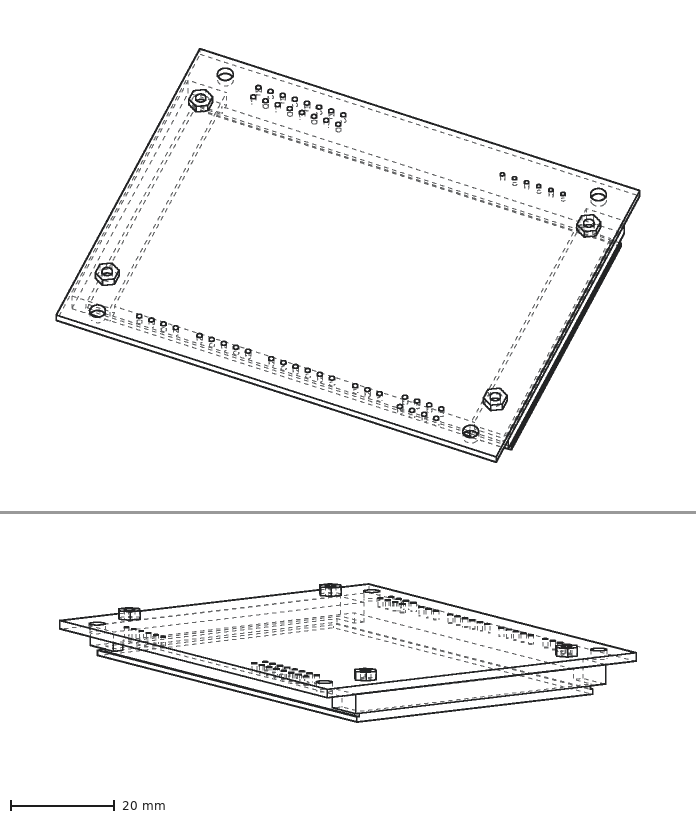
import cadquery as cq

board_length = 92
board_width = 72.0
board_thickness = 1.7

mount_hole_diameter = 3.0
mount_hole_x = 39.0
mount_hole_y = 32.0

bar_width = 8.0
bar_length = 58.3
bar_height = 3.9
bar_outer_x = 45.6

display_depth = 6.0
display_half_length = 43.6
display_body_width = 54.0
display_top_gap = 1.8
flange_width = 55.0
flange_thickness = 1.0

nut_across_corners = 4.6
nut_height = 1.7
nut_bore_diameter = 2.0
nut_x = 40.6
nut_y = 23.5

wide_header_columns = 8
wide_header_span = 17.8
pin_pitch = wide_header_span / (wide_header_columns - 1)
pin_hole_diameter = 1.0
small_pin_hole_diameter = 0.8

single_row_y = -30.1
headers = [
    (-31.8, 28.9, wide_header_columns, 2, pin_hole_diameter),
    (20.0, 29.5, 6, 1, small_pin_hole_diameter),
    (-31.1, single_row_y, 4, 1, pin_hole_diameter),
    (-18.5, single_row_y, 5, 1, pin_hole_diameter),
    (-3.5, single_row_y, 6, 1, pin_hole_diameter),
    (14.1, single_row_y, 3, 1, pin_hole_diameter),
    (24.0, -31.6, 4, 2, pin_hole_diameter),
]


def four_corners(x, y):
    """Points mirrored about both centre lines."""
    return [(sx * x, sy * y) for sx in (-1, 1) for sy in (-1, 1)]


def block(x_min, x_max, width, z_min, z_max):
    """Box centred on the X axis between the given X and Z limits."""
    base = cq.Workplane("XY").workplane(offset=z_min).center((x_min + x_max) / 2, 0)
    return base.rect(x_max - x_min, width).extrude(z_max - z_min)


def drilled_board():
    board = block(-board_length / 2, board_length / 2, board_width, 0, board_thickness)
    top = board.faces(">Z").workplane(origin=(0, 0, board_thickness))
    board = top.pushPoints(four_corners(mount_hole_x, mount_hole_y)).hole(mount_hole_diameter)
    for left_x, low_y, columns, rows, diameter in headers:
        pins = [
            (left_x + column * pin_pitch, low_y + row * pin_pitch)
            for column in range(columns)
            for row in range(rows)
        ]
        top = board.faces(">Z").workplane(origin=(0, 0, board_thickness))
        board = top.pushPoints(pins).hole(diameter)
    return board


def spacer_bars():
    bar = block(bar_outer_x - bar_width, bar_outer_x, bar_length, -bar_height, 0)
    return bar.union(bar.mirror("YZ"))


def display():
    flange_top = flange_thickness - display_depth
    body = block(
        -display_half_length, display_half_length, display_body_width, flange_top, -display_top_gap
    )
    flange = block(-display_half_length, bar_outer_x, flange_width, -display_depth, flange_top)
    return body.union(flange)


def nuts():
    nut = cq.Workplane("XY").polygon(6, nut_across_corners).extrude(nut_height)
    nut = nut.faces(">Z").workplane().hole(nut_bore_diameter)
    nut = nut.rotate((0, 0, 0), (0, 0, 1), 90)
    all_nuts = cq.Workplane("XY")
    for x, y in four_corners(nut_x, nut_y):
        all_nuts = all_nuts.add(nut.translate((x, y, board_thickness)))
    return all_nuts.combine()


result = drilled_board().union(spacer_bars()).union(display()).union(nuts())